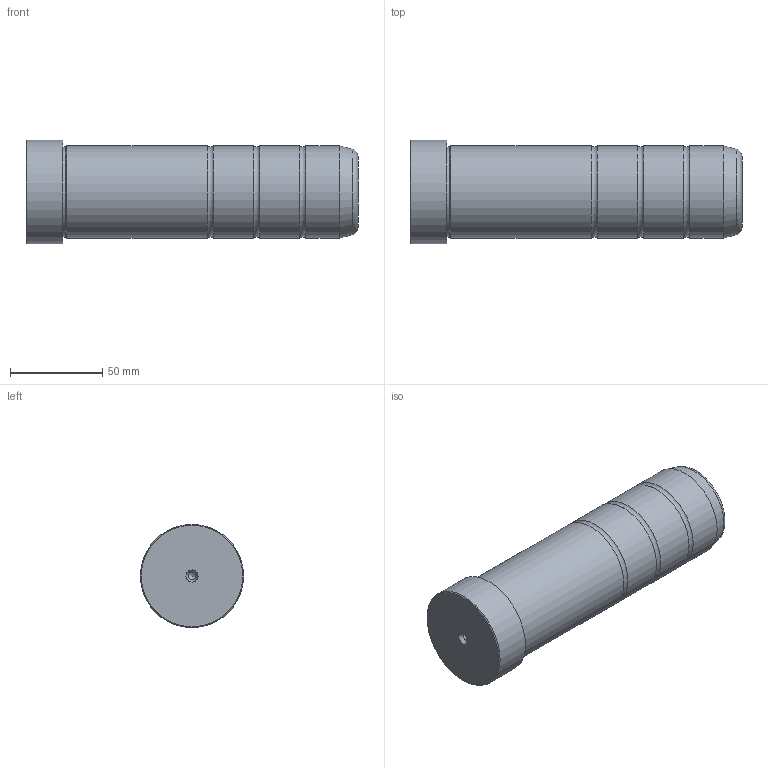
import cadquery as cq
import math

total_length = 180.0
head_length = 20.0
head_radius = 28.0
head_chamfer = 0.5
shank_radius = 25.0

relief_width = 2.0
relief_depth = 0.6
relief_exit_angle = math.radians(45)

groove_depth = 0.7
groove_half_width = 1.6
groove_pitch = 25.0
first_groove_x = 100.0
groove_count = 3

nose_length = 10.0
nose_angle = math.radians(15)
nose_round = 4.0

hole_mouth_radius = 3.3
hole_radius = 2.0
hole_depth = 8.0
countersink_half_angle = math.radians(30)
drill_tip_half_angle = math.radians(60)


def revolve_about_axis(outline):
    """Revolve a closed XY outline a full turn about the X axis."""
    return outline.close().revolve(360, (0, 0, 0), (1, 0, 0))


def make_body():
    relief_radius = shank_radius - relief_depth
    relief_end = head_length + relief_width
    relief_exit = relief_depth / math.tan(relief_exit_angle)

    nose_start = total_length - nose_length
    round_center_x = total_length - nose_round
    round_start_x = round_center_x + nose_round * math.sin(nose_angle)
    round_start_radius = shank_radius - (round_start_x - nose_start) * math.tan(nose_angle)
    round_center_radius = round_start_radius - nose_round * math.cos(nose_angle)
    middle_angle = (math.pi / 2 - nose_angle) / 2
    round_middle = (
        round_center_x + nose_round * math.cos(middle_angle),
        round_center_radius + nose_round * math.sin(middle_angle),
    )

    outline = (
        cq.Workplane("XY")
        .moveTo(0, 0)
        .lineTo(0, head_radius - head_chamfer)
        .lineTo(head_chamfer, head_radius)
        .lineTo(head_length, head_radius)
        .lineTo(head_length, relief_radius)
        .lineTo(relief_end - relief_exit, relief_radius)
        .lineTo(relief_end, shank_radius)
        .lineTo(nose_start, shank_radius)
        .lineTo(round_start_x, round_start_radius)
        .threePointArc(round_middle, (total_length, round_center_radius))
        .lineTo(total_length, 0)
    )
    return revolve_about_axis(outline)


def make_groove_cutter(center_x):
    """Round-bottomed ring that cuts one lubrication groove."""
    groove_start = center_x - groove_half_width
    groove_end = center_x + groove_half_width
    outline = (
        cq.Workplane("XY")
        .moveTo(groove_start, shank_radius)
        .threePointArc((center_x, shank_radius - groove_depth), (groove_end, shank_radius))
        .lineTo(groove_end, head_radius)
        .lineTo(groove_start, head_radius)
    )
    return revolve_about_axis(outline)


def make_center_hole():
    """Countersunk pilot hole with a conical drill tip."""
    countersink_depth = (hole_mouth_radius - hole_radius) / math.tan(countersink_half_angle)
    tip_length = hole_radius / math.tan(drill_tip_half_angle)
    outline = (
        cq.Workplane("XY")
        .moveTo(0, 0)
        .lineTo(0, hole_mouth_radius)
        .lineTo(countersink_depth, hole_radius)
        .lineTo(hole_depth, hole_radius)
        .lineTo(hole_depth + tip_length, 0)
    )
    return revolve_about_axis(outline)


result = make_body()
for index in range(groove_count):
    result = result.cut(make_groove_cutter(first_groove_x + index * groove_pitch))
result = result.cut(make_center_hole())